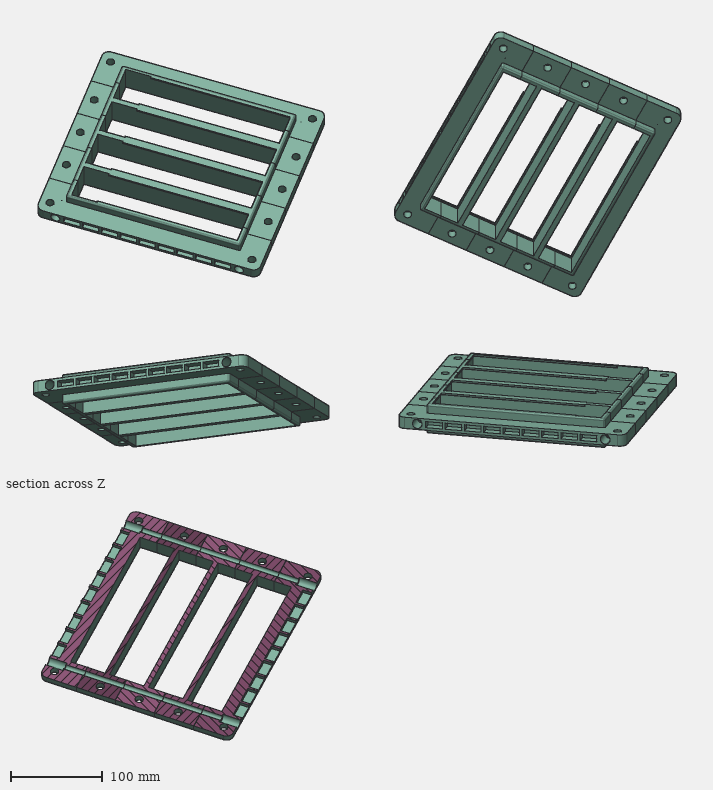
import cadquery as cq

flange_length = 256.0
flange_width = 226.0
flange_thickness = 13.0
corner_radius = 8.2

frame_length = 200.5
frame_width = 186.4
frame_height = 33.0
frame_edge_radius = 1.8

opening_count = 4
opening_pitch = 46.0
rib_width = 6.0
chamber_width = opening_pitch - rib_width
chamber_start_x = -95.0
lip_start_x = -66.0
lip_overhang = 1.5
lip_thickness = 2.0
lip_end_x = -chamber_start_x
chamber_end_x = lip_end_x + lip_overhang

mounting_hole_diameter = 8.5
mounting_hole_x = 116.2
corner_hole_y = 100.0

tie_hole_diameter = 6.0
tie_head_diameter = 10.5
tie_head_depth = 20.5
tie_hole_x = 105.7

pocket_count = 9
pocket_row_length = 192.3
pocket_gap = 3.0
pocket_length = (pocket_row_length - (pocket_count - 1) * pocket_gap) / pocket_count
pocket_pitch = pocket_length + pocket_gap
pocket_height = 7.0
pocket_depth = 10.2


def centred_row(count, pitch):
    """Evenly spaced positions centred on zero."""
    return [(i - (count - 1) / 2) * pitch for i in range(count)]


opening_ys = centred_row(opening_count, opening_pitch)
middle_ys = centred_row(opening_count - 1, opening_pitch)


def outer_shape():
    """Flange plate joined with the rounded frame block."""
    flange = cq.Workplane("XY").box(flange_length, flange_width, flange_thickness)
    flange = flange.edges("|Z").fillet(corner_radius)
    frame = cq.Workplane("XY").box(frame_length, frame_width, frame_height)
    frame = frame.edges().fillet(frame_edge_radius)
    return flange.union(frame)


def x_block(x_start, x_end, width, y_centre, z_start, z_end):
    """Block between two X positions and two heights, centred on y_centre."""
    block = cq.Workplane("XY").box(x_end - x_start, width, z_end - z_start)
    return block.translate(((x_start + x_end) / 2, y_centre, (z_start + z_end) / 2))


def opening(y_centre):
    """Chamber through the frame, with a lip left over most of its top."""
    top = frame_height / 2
    chamber = x_block(chamber_start_x, chamber_end_x, chamber_width, y_centre, -top, top)
    lip_blank = x_block(lip_start_x, chamber_end_x, chamber_width, y_centre, top - lip_thickness, top)
    mouth_width = chamber_width - 2 * lip_overhang
    mouth = x_block(lip_start_x, lip_end_x, mouth_width, y_centre, top - lip_thickness, top)
    return chamber.cut(lip_blank.cut(mouth))


def mounting_holes():
    ys = [-corner_hole_y, *middle_ys, corner_hole_y]
    centres = [(side * mounting_hole_x, y) for side in (-1, 1) for y in ys]
    holes = cq.Workplane("XY").pushPoints(centres)
    return holes.circle(mounting_hole_diameter / 2).extrude(flange_thickness / 2, both=True)


def tie_holes():
    """Through holes along Y, counterbored at both outer end faces."""
    centres = [(-tie_hole_x, 0), (tie_hole_x, 0)]
    holes = cq.Workplane("XZ").pushPoints(centres)
    holes = holes.circle(tie_hole_diameter / 2).extrude(flange_width / 2, both=True)
    for side in (-1, 1):
        end = cq.Workplane("XZ", origin=(0, side * flange_width / 2, 0)).pushPoints(centres)
        holes = holes.union(end.circle(tie_head_diameter / 2).extrude(tie_head_depth, both=True))
    return holes


def end_pockets():
    """Equal blind pockets in a row on both outer end faces."""
    pocket_y = (flange_width - pocket_depth) / 2
    xs = centred_row(pocket_count, pocket_pitch)
    centres = [(x, side * pocket_y) for x in xs for side in (-1, 1)]
    return cq.Workplane("XY").pushPoints(centres).box(pocket_length, pocket_depth, pocket_height)


whole_frame = outer_shape().cut(mounting_holes()).cut(tie_holes()).cut(end_pockets())
for opening_y in opening_ys:
    whole_frame = whole_frame.cut(opening(opening_y))


def slice_between(y_start, y_end):
    """The stretch of the frame between two planes across Y."""
    slab = cq.Workplane("XY").box(flange_length, y_end - y_start, frame_height)
    return whole_frame.intersect(slab.translate((0, (y_start + y_end) / 2, 0)))


def end_section(side):
    """C-shaped end piece at the -Y (side = -1) or +Y (side = 1) end."""
    y_inner = side * opening_ys[-1]
    y_outer = side * flange_width / 2
    return slice_between(min(y_inner, y_outer), max(y_inner, y_outer))


def middle_section(y_centre):
    """H-shaped piece that carries one rib."""
    return slice_between(y_centre - opening_pitch / 2, y_centre + opening_pitch / 2)


end_sections = [end_section(side) for side in (-1, 1)]
middle_sections = [middle_section(y) for y in middle_ys]

result = cq.Compound.makeCompound([section.solids().val() for section in end_sections + middle_sections])